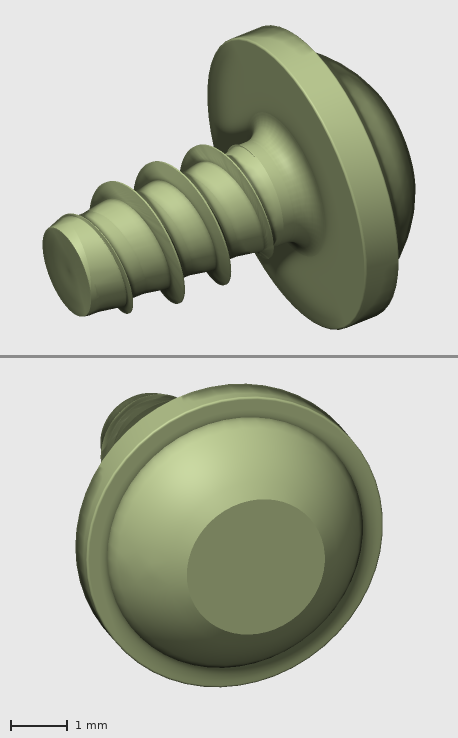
import cadquery as cq
import math


flange_radius = 2.75
flange_thickness = 0.7
flange_edge_radius = 0.04
dome_base_radius = 2.37
dome_top_radius = 1.28
dome_height = 1.2

shank_length = 4.5
neck_radius = 0.96
neck_fillet = 0.4
neck_end_depth = 0.62
core_radius = 0.86
core_start_depth = 1.0
tip_radius = 0.84
tip_taper_length = 0.1
tip_rim_width = 0.03
tip_thread_slope = 0.33
tip_dimple_depth = 0.05

pitch = 0.95
thread_radius = 1.25
crest_depth_at_turn_zero = 0.47
crest_half_width = 0.015
first_turn = -0.25
full_height_turn = 1.0
fade_turn = 2.75
last_turn = 4.25
points_per_turn = 16
smallest_height_share = 0.1

flare_foot_offset = 0.19
flare_top_offset = 0.07
flare_top_radius = 1.03
flank_foot_offset = 0.1
flank_foot_radius = 0.937
cone_end_offset = 0.56
buried_radius = 0.72
root_overlap = 0.015
root_radius = core_radius - root_overlap
flare_slope = (flare_foot_offset - flare_top_offset) / (flare_top_radius - core_radius)
cone_slope = (cone_end_offset - flank_foot_offset) / (flank_foot_radius - core_radius)
flare_root_offset = flare_foot_offset + root_overlap * flare_slope
cone_root_offset = cone_end_offset + root_overlap * cone_slope
fin_step = 0.006


def make_head():
    """Flange disc with a truncated spherical dome on top."""
    flange = (
        cq.Workplane("XZ")
        .circle(flange_radius)
        .extrude(-flange_thickness)
        .edges()
        .fillet(flange_edge_radius)
    )
    head_top = flange_thickness + dome_height
    centre_drop = (dome_base_radius**2 - dome_top_radius**2 - dome_height**2) / (2 * dome_height)
    sphere_radius = math.hypot(dome_base_radius, centre_drop)
    middle_height = dome_height / 2
    middle_radius = math.sqrt(sphere_radius**2 - (middle_height + centre_drop) ** 2)
    dome = (
        cq.Workplane("XY")
        .moveTo(0, flange_thickness / 2)
        .lineTo(dome_base_radius, flange_thickness / 2)
        .lineTo(dome_base_radius, flange_thickness)
        .threePointArc((middle_radius, flange_thickness + middle_height), (dome_top_radius, head_top))
        .lineTo(0, head_top)
        .close()
        .revolve(360, (0, 0, 0), (0, 1, 0))
    )
    return flange.union(dome)


def make_core():
    """Filleted neck, conical step to the core, and a tapered tip."""
    return (
        cq.Workplane("XY")
        .moveTo(0, flange_thickness / 2)
        .lineTo(neck_radius + neck_fillet, flange_thickness / 2)
        .lineTo(neck_radius + neck_fillet, 0)
        .radiusArc((neck_radius, -neck_fillet), -neck_fillet)
        .lineTo(neck_radius, -neck_end_depth)
        .lineTo(core_radius, -core_start_depth)
        .lineTo(core_radius, tip_taper_length - shank_length)
        .lineTo(tip_radius, -shank_length)
        .lineTo(0, -shank_length)
        .close()
        .revolve(360, (0, 0, 0), (0, 1, 0))
    )


def crest_radius_at(turn):
    """Crest radius: rises out of the neck, stays full, then fades into the core."""
    rise = (turn - first_turn) / (full_height_turn - first_turn)
    fade = (last_turn - turn) / (last_turn - fade_turn)
    rising_radius = neck_radius + rise * (thread_radius - neck_radius)
    fading_radius = core_radius + fade * (thread_radius - core_radius)
    return min(thread_radius, rising_radius, fading_radius)


def thread_section(turn):
    """(depth, radius) corners of the thread profile, from the head side to the tip side."""
    crest_radius = crest_radius_at(turn)
    height_share = (crest_radius - core_radius) / (thread_radius - core_radius)
    height = max(smallest_height_share, height_share)
    crest_depth = crest_depth_at_turn_zero + pitch * turn
    foot_depth = crest_depth - flare_root_offset * height
    flare_radius = core_radius + height * (flare_top_radius - core_radius)
    flank_radius = min(flank_foot_radius, crest_radius)
    helix_corners = [
        (foot_depth, buried_radius),
        (foot_depth, root_radius),
        (crest_depth - flare_top_offset * height, min(flare_radius, crest_radius)),
        (crest_depth - crest_half_width * height, crest_radius),
        (crest_depth + crest_half_width * height, crest_radius),
        (crest_depth + flank_foot_offset * height, flank_radius),
        (crest_depth + cone_root_offset, root_radius),
        (crest_depth + cone_root_offset, buried_radius),
    ]
    return [
        (max(depth, neck_end_depth + index * fin_step), radius)
        for index, (depth, radius) in enumerate(helix_corners)
    ]


def place_on_turn(turn, depth, radius):
    angle = 2 * math.pi * turn
    return cq.Vector(-radius * math.cos(angle), -depth, -radius * math.sin(angle))


def make_thread():
    """Helical ridge built from ruled faces between the paths of the profile corners."""
    step_count = round((last_turn - first_turn) * points_per_turn)
    turns = [first_turn + step / points_per_turn for step in range(step_count + 1)]
    sections = [
        [place_on_turn(turn, depth, radius) for depth, radius in thread_section(turn)]
        for turn in turns
    ]
    paths = [cq.Edge.makeSpline(list(corner_points)) for corner_points in zip(*sections)]
    faces = [
        cq.Face.makeRuledSurface(path, next_path)
        for path, next_path in zip(paths, paths[1:] + paths[:1])
    ]
    for end_section in (sections[0], sections[-1]):
        faces.append(cq.Face.makeFromWires(cq.Wire.makePolygon(end_section, close=True)))
    ridge = cq.Solid.makeSolid(cq.Shell.makeShell(faces))
    trim_radius = tip_radius + tip_thread_slope * shank_length
    trim_cone = cq.Solid.makeCone(
        tip_radius, trim_radius, shank_length, cq.Vector(0, -shank_length, 0), cq.Vector(0, 1, 0)
    )
    return cq.Workplane(obj=ridge.intersect(trim_cone))


def make_tip_dimple():
    """Shallow conical hollow in the end face."""
    return cq.Workplane(
        obj=cq.Solid.makeCone(
            tip_radius - tip_rim_width,
            0,
            tip_dimple_depth,
            cq.Vector(0, -shank_length, 0),
            cq.Vector(0, 1, 0),
        )
    )


screw_body = make_head().union(make_core())
result = screw_body.union(make_thread()).cut(make_tip_dimple())